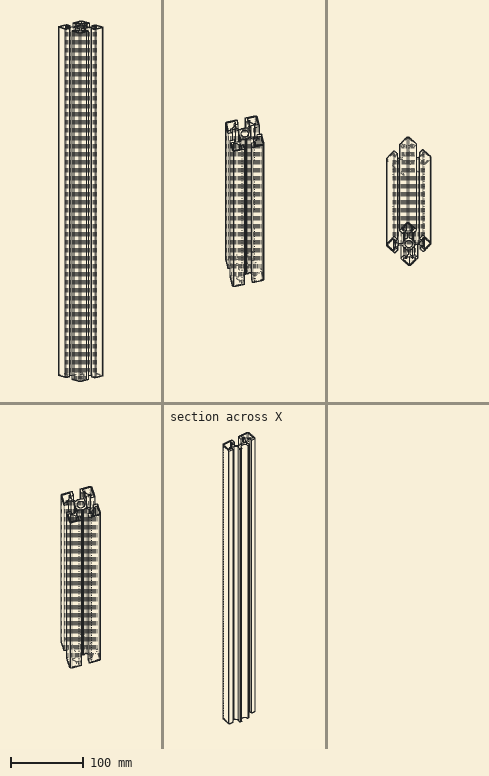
import cadquery as cq
import math

side = 45.0
length = 500.0
half_side = side / 2
corner_radius = 3.0

mouth_half_width = 5.5
mouth_radius = 0.75
lip_thickness = 6.5
undercut_half_width = 9.5
groove_half_width = 1.5
groove_depth = 1.0

core_radius = 8.5

web_offset = 1.5
web_foot_radius = 1.75

outer_wall = 1.5
inner_wall = 1.75
lip_tip_wall = 3.5
chamber_chamfer_sum = 26.0

bore_radius = 5.0


def prism(outline):
    """Extrude a closed outline along the full length."""
    return outline.close().extrude(length)


def t_slot():
    """Void of the slot that opens towards +Y."""
    lip_face = half_side - lip_thickness
    mouth_arc_end = half_side - mouth_radius
    mouth_arc_start = mouth_half_width + mouth_radius
    web_top = undercut_half_width + web_offset
    foot_x = (math.sqrt(2 * core_radius**2 - web_offset**2) - web_offset) / 2
    foot_y = foot_x + web_offset
    groove_edge_y = math.sqrt(core_radius**2 - groove_half_width**2)

    outline = (
        cq.Workplane("XY")
        .moveTo(mouth_arc_start, half_side)
        .radiusArc((mouth_half_width, mouth_arc_end), -mouth_radius)
        .lineTo(mouth_half_width, lip_face)
        .lineTo(undercut_half_width, lip_face)
        .lineTo(undercut_half_width, web_top)
        .lineTo(foot_x, foot_y)
        .radiusArc((groove_half_width, groove_edge_y), -core_radius)
        .lineTo(0, core_radius - groove_depth)
        .lineTo(-groove_half_width, groove_edge_y)
        .radiusArc((-foot_x, foot_y), -core_radius)
        .lineTo(-undercut_half_width, web_top)
        .lineTo(-undercut_half_width, lip_face)
        .lineTo(-mouth_half_width, lip_face)
        .lineTo(-mouth_half_width, mouth_arc_end)
        .radiusArc((-mouth_arc_start, half_side), -mouth_radius)
    )
    void = prism(outline)
    for x in (foot_x, -foot_x):
        foot_edge = cq.selectors.NearestToPointSelector((x, foot_y, length / 2))
        void = void.edges(foot_edge).fillet(web_foot_radius)
    return void


def corner_chamber():
    """Void in the +X +Y corner, with an arm reaching into each neighbouring lip."""
    outer = half_side - outer_wall
    arm_end = mouth_half_width + lip_tip_wall
    arm_inner = half_side - lip_thickness + inner_wall
    inner = undercut_half_width + inner_wall
    upper_half = [
        (outer, outer),
        (arm_end, outer),
        (arm_end, arm_inner),
        (inner, arm_inner),
        (inner, chamber_chamfer_sum - inner),
    ]
    lower_half = [(y, x) for x, y in reversed(upper_half[1:])]
    return prism(cq.Workplane("XY").polyline(upper_half + lower_half))


result = cq.Workplane("XY").rect(side, side).extrude(length).edges("|Z").fillet(corner_radius)

slot = t_slot()
chamber = corner_chamber()
for angle in (0, 90, 180, 270):
    result = result.cut(slot.rotate((0, 0, 0), (0, 0, 1), angle))
    result = result.cut(chamber.rotate((0, 0, 0), (0, 0, 1), angle))

bore = cq.Workplane("XY").circle(bore_radius).extrude(length)
result = result.cut(bore)